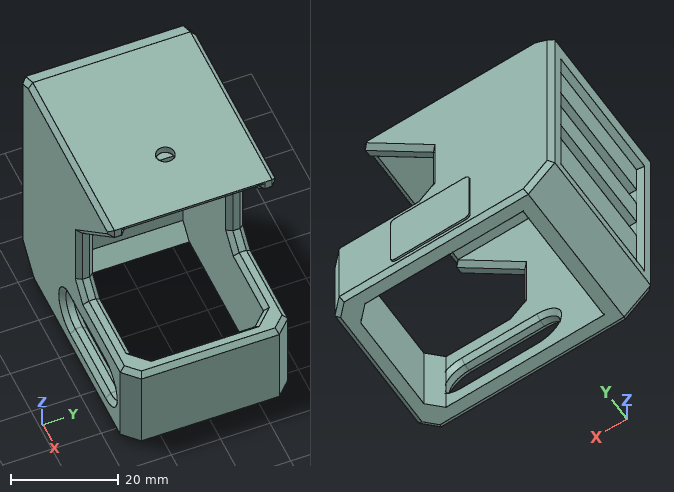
import cadquery as cq

height = 54.0
length = 51.0
width = 34.0
heel_chamfer = 6.0
brow_run = 3.5
brow_drop = 2.0
nose_x = 42.75
nose_face_height = 2.0
neck_x = 27.4
neck_top = 36.4
tray_top = 20.05
ramp = 3.0

edge_chamfer = 1.0
corner_chamfer = 3.0

side_wall = 3.5
roof = 1.5
back_wall_inner_x = 5.85
cavity_corner_chamfer = 2.95
cavity_heel_chamfer = 3.0

recess_depth = 1.5
recess_taper = 0.5
recess_bottom = 8.5
recess_top = 47.6
window_height = 5.0
lower_window_bottom = 22.55
window_pitch = 12.0

slot_center_x = 32.45
slot_center_z = 9.45
slot_length = 26.05
slot_height = 9.0
roof_hole_x = 29.3
roof_hole_diameter = 3.6
pad_center_x = 27.25
pad_center_z = 9.6
pad_length = 17.7
pad_height = 15.1
pad_thickness = 0.4
pad_corner_radius = 1.1

mid_y = width / 2
nose_bottom = height - nose_face_height
cavity_width = width - 2 * side_wall
cavity_end_x = length - side_wall
cavity_top = height - roof
margin = 0.05


def centered_box(x_min, x_max, z_min, z_max, y_size):
    """Box centred on the middle of the part's width."""
    box = cq.Workplane("XY").box(x_max - x_min, y_size, z_max - z_min, centered=(False, True, False))
    return box.translate((x_min, mid_y, z_min))


def make_body():
    """Solid side profile with bevelled side faces and tray end."""
    outline = [
        (heel_chamfer, 0),
        (length, 0),
        (length, tray_top),
        (neck_x + ramp, tray_top),
        (neck_x, tray_top + ramp),
        (neck_x, neck_top),
        (nose_x, nose_bottom),
        (nose_x, height),
        (brow_run, height),
        (0, height - brow_drop),
        (0, heel_chamfer),
    ]
    body = cq.Workplane("XZ").polyline(outline).close().extrude(-width)
    body = body.edges("|Z and >X").chamfer(corner_chamfer)

    side_rims = body.faces("<Y or >Y").edges("not(|Z and >X)")
    tray_end = cq.selectors.BoxSelector(
        (length - corner_chamfer - margin, -margin, -margin),
        (length + margin, width + margin, tray_top + margin),
        boundingbox=True,
    )
    tray_rims = body.edges(tray_end).edges("not |Z")
    return side_rims.add(tray_rims).chamfer(edge_chamfer)


def make_cavity():
    cavity = centered_box(back_wall_inner_x, cavity_end_x, 0, cavity_top, cavity_width)
    cavity = cavity.edges("|Z and >X").chamfer(cavity_corner_chamfer)
    return cavity.edges("|Y and <X and <Z").chamfer(cavity_heel_chamfer)


def bevel_cavity_mouth(shell):
    """Bevel the inner rim of the +X opening, all the way round."""
    mouth = cq.selectors.BoxSelector(
        (neck_x - margin, side_wall - margin, tray_top - margin),
        (cavity_end_x + margin, width - side_wall + margin, cavity_top + margin),
        boundingbox=True,
    )
    return shell.edges(mouth).chamfer(edge_chamfer)


def make_recess():
    """Shallow recess in the -X face with tapered walls."""
    mouth_height = recess_top - recess_bottom
    return (
        cq.Workplane("YZ", origin=(0, mid_y, (recess_bottom + recess_top) / 2))
        .rect(cavity_width + 2 * recess_taper, mouth_height)
        .workplane(offset=recess_depth)
        .rect(cavity_width, mouth_height - 2 * recess_taper)
        .loft(ruled=True)
    )


def make_window(bottom):
    return centered_box(0, back_wall_inner_x, bottom, bottom + window_height, cavity_width)


def make_slot():
    """Grip slot through the -Y wall, flared at both faces of the wall."""

    def slot_outline(y):
        return cq.Workplane("XZ", origin=(slot_center_x, y, slot_center_z))

    slot = slot_outline(0).slot2D(slot_length, slot_height).extrude(-side_wall)
    for face_y, flare_offset in ((0, -edge_chamfer), (side_wall, edge_chamfer)):
        flare = (
            slot_outline(face_y)
            .slot2D(slot_length + 2 * edge_chamfer, slot_height + 2 * edge_chamfer)
            .workplane(offset=flare_offset)
            .slot2D(slot_length, slot_height)
            .loft(ruled=True)
        )
        slot = slot.union(flare)
    return slot


def make_roof_hole():
    return (
        cq.Workplane("XY", origin=(roof_hole_x, mid_y, cavity_top))
        .circle(roof_hole_diameter / 2)
        .extrude(roof)
    )


def make_pad():
    """Thin raised pad on the +Y face."""
    return (
        cq.Workplane("XZ", origin=(pad_center_x, width, pad_center_z))
        .rect(pad_length, pad_height)
        .extrude(-pad_thickness)
        .edges("|Y")
        .fillet(pad_corner_radius)
    )


result = bevel_cavity_mouth(make_body().cut(make_cavity()))
result = result.cut(make_recess())
for window_index in range(2):
    result = result.cut(make_window(lower_window_bottom + window_index * window_pitch))
result = result.cut(make_slot())
result = result.cut(make_roof_hole())
result = result.union(make_pad())